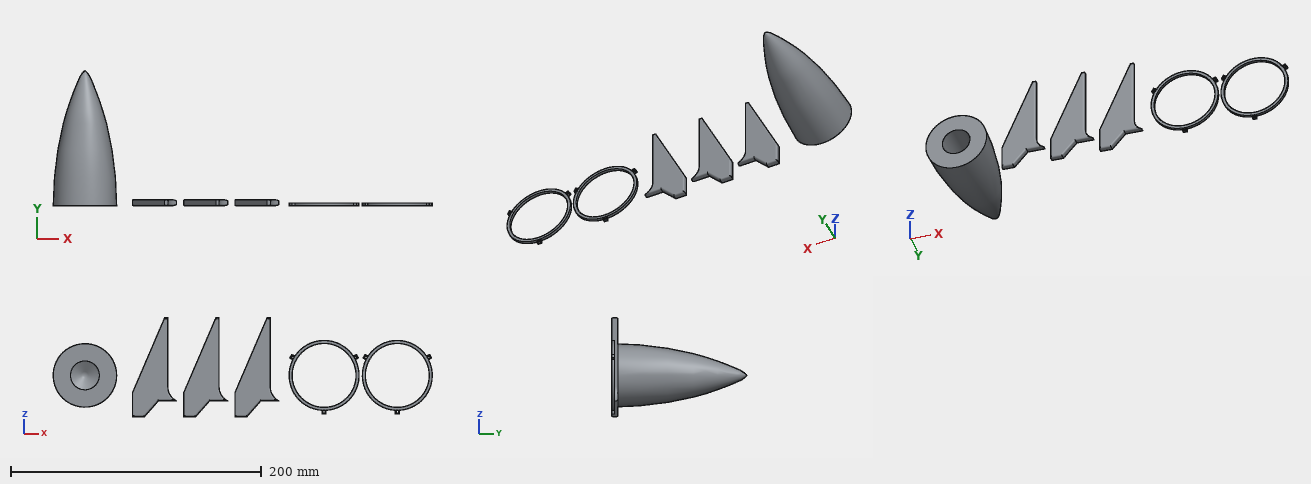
import cadquery as cq
import math

OVERALL_LENGTH = 302.2
AXIS_HEIGHT = 33.0

NOSE_DIAMETER = 50.8
NOSE_RADIUS = NOSE_DIAMETER / 2
NOSE_LENGTH = 108.0
NOSE_AFT_POINT = (23.0, 36.0)
NOSE_MIDDLE_POINT = (15.7, 71.5)
NOSE_FORE_POINT = (6.3, 98.0)
BASE_TANGENT = (0, 1)
TIP_TANGENT = (-1, 0.7)
SOCKET_DIAMETER = 23.0
SOCKET_DEPTH = 36.3
SOCKET_TIP_LENGTH = 7.0

FIN_COUNT = 3
FIN_PITCH = 40.8
FIRST_FIN_X = 63.2
FIN_HEIGHT = 79.0
FIN_THICKNESS = 5.0
FIN_EDGE_RADIUS = 1.35
FIN_ROOT_X = 28.5
FIN_TIP_WIDTH = 2.7
FIN_SHOULDER_HEIGHT = 19.0
FIN_FOOT_WIDTH = 9.7
FIN_LEDGE_HEIGHT = 12.7
FIN_LEDGE_X = 21.0
FIN_FILLET_RADIUS = 12.0
FIN_FILLET_DROP = 11.0

RING_COUNT = 2
RING_PITCH = 58.3
RING_OUTER_DIAMETER = 56.0
RING_INNER_DIAMETER = NOSE_DIAMETER
RING_THICKNESS = 2.5
LAST_RING_X = OVERALL_LENGTH - RING_OUTER_DIAMETER / 2
EYELET_ANGLES = (30, 150, 270)
EYELET_WIDTH = 3.3
EYELET_REACH = 2.7
EYELET_WALL = 1.0


def make_nose():
    """Pointed nose along +Y with a cone-ended round socket in its flat base."""
    profile = (
        cq.Workplane("XY")
        .lineTo(NOSE_RADIUS, 0)
        .spline(
            [NOSE_AFT_POINT, NOSE_MIDDLE_POINT, NOSE_FORE_POINT, (0, NOSE_LENGTH)],
            tangents=[BASE_TANGENT, TIP_TANGENT],
            includeCurrent=True,
        )
        .close()
    )
    nose = profile.revolve(360, (0, 0), (0, 1))
    socket = (
        cq.Workplane("XY")
        .lineTo(SOCKET_DIAMETER / 2, 0)
        .lineTo(SOCKET_DIAMETER / 2, SOCKET_DEPTH)
        .lineTo(0, SOCKET_DEPTH + SOCKET_TIP_LENGTH)
        .close()
        .revolve(360, (0, 0), (0, 1))
    )
    return nose.cut(socket).translate((NOSE_RADIUS, 0, AXIS_HEIGHT))


def make_fin(x):
    """Swept fin with its left edge at x and the edges of both faces rounded."""
    fillet_start = FIN_LEDGE_HEIGHT + FIN_FILLET_DROP
    sweep = math.asin(FIN_FILLET_DROP / FIN_FILLET_RADIUS)

    def fillet_point(angle):
        return (
            FIN_ROOT_X + FIN_FILLET_RADIUS * (1 - math.cos(angle)),
            fillet_start - FIN_FILLET_RADIUS * math.sin(angle),
        )

    outline = (
        cq.Workplane("XZ")
        .lineTo(0, FIN_SHOULDER_HEIGHT)
        .lineTo(FIN_ROOT_X - FIN_TIP_WIDTH, FIN_HEIGHT)
        .lineTo(FIN_ROOT_X, FIN_HEIGHT)
        .lineTo(FIN_ROOT_X, fillet_start)
        .threePointArc(fillet_point(sweep / 2), fillet_point(sweep))
        .lineTo(FIN_LEDGE_X, FIN_LEDGE_HEIGHT)
        .lineTo(FIN_FOOT_WIDTH, 0)
        .close()
    )
    fin = outline.extrude(-FIN_THICKNESS).faces("<Y or >Y").fillet(FIN_EDGE_RADIUS)
    return fin.translate((x, 0, 0))


def make_ring(x):
    """Flat ring centred at x with three square eyelets standing out from its rim."""
    outer_radius = RING_OUTER_DIAMETER / 2
    inner_radius = RING_INNER_DIAMETER / 2
    eyelet_root = (outer_radius + inner_radius) / 2
    eyelet_end = outer_radius + EYELET_REACH
    opening_end = eyelet_end - EYELET_WALL
    opening_width = EYELET_WIDTH - 2 * EYELET_WALL

    def radial_bar(end, width):
        return (
            cq.Workplane("XZ")
            .center((eyelet_root + end) / 2, 0)
            .rect(end - eyelet_root, width)
            .extrude(-RING_THICKNESS)
        )

    ring = cq.Workplane("XZ").circle(outer_radius).circle(inner_radius).extrude(-RING_THICKNESS)
    eyelet = radial_bar(eyelet_end, EYELET_WIDTH).cut(radial_bar(opening_end, opening_width))
    for angle in EYELET_ANGLES:
        ring = ring.union(eyelet.rotate((0, 0, 0), (0, 1, 0), -angle))
    return ring.translate((x, 0, AXIS_HEIGHT))


nose = make_nose()
fins = [make_fin(FIRST_FIN_X + i * FIN_PITCH) for i in range(FIN_COUNT)]
rings = [make_ring(LAST_RING_X - i * RING_PITCH) for i in range(RING_COUNT)]

result = cq.Compound.makeCompound(
    [nose.val(), *[fin.val() for fin in fins], *[ring.val() for ring in rings]]
)